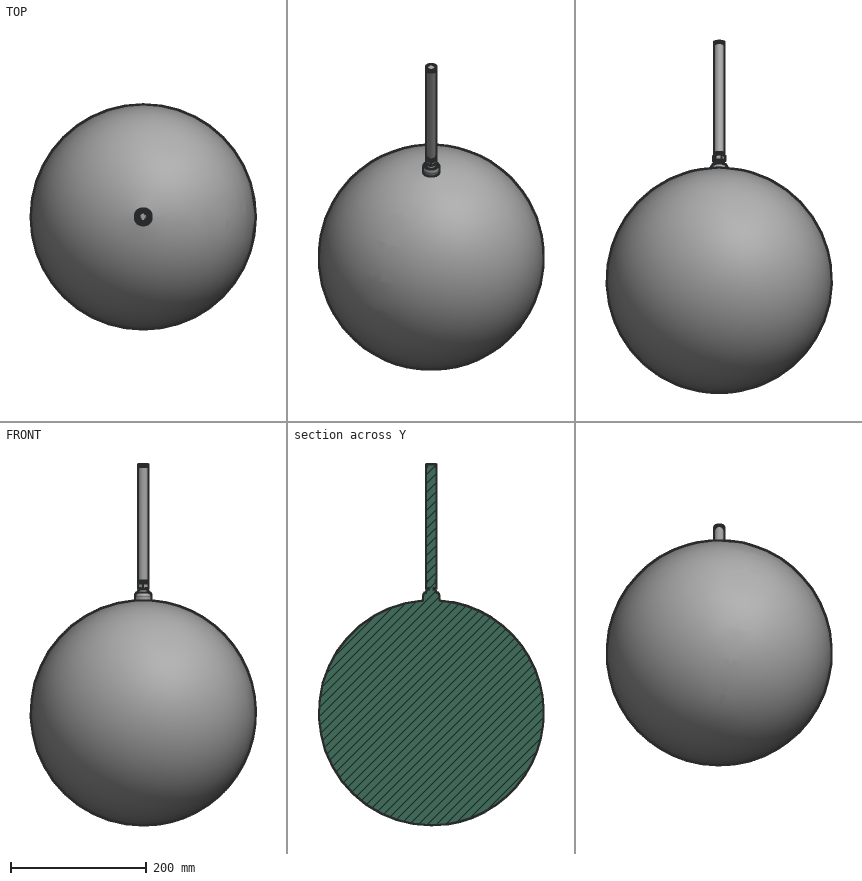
import cadquery as cq
import math

globe_diameter = 334.0
globe_radius = globe_diameter / 2
overall_height = 535.11

stem_diameter = 16.0
stem_end_diameter = 13.0
groove_diameter = 13.62
chamfer_height = 0.8
ring_wall_height = 1.0
groove_width = 1.4

nut_across_flats = 16.0
nut_height = 7.4

pin_diameter = 8.06
pin_height = 1.6

canopy_diameter = 25.0
canopy_wall_height = 5.0
canopy_round_height = 6.0
canopy_ledge_diameter = 20.0
canopy_cone_diameter = 17.0
canopy_top_diameter = 12.5
canopy_cone_height = 4.8
canopy_embed = 3.0

stem_top = overall_height - globe_radius
canopy_bottom = globe_radius - canopy_embed
canopy_wall_top = globe_radius + canopy_wall_height
canopy_ledge = canopy_wall_top + canopy_round_height
canopy_top = canopy_ledge + canopy_cone_height
nut_bottom = canopy_top + pin_height
stem_bottom = nut_bottom + nut_height


def turned(profile):
    """Turn a closed half profile, drawn in XZ, a full turn about Z."""
    return profile.close().revolve(360, (0, 0, 0), (0, 1, 0))


def make_globe():
    return cq.Workplane("XY").sphere(globe_radius)


def make_canopy():
    wall_radius = canopy_diameter / 2
    profile = (
        cq.Workplane("XZ")
        .moveTo(0, canopy_bottom)
        .lineTo(wall_radius, canopy_bottom)
        .lineTo(wall_radius, canopy_wall_top)
        .tangentArcPoint((canopy_ledge_diameter / 2, canopy_ledge), relative=False)
        .lineTo(canopy_cone_diameter / 2, canopy_ledge)
        .lineTo(canopy_top_diameter / 2, canopy_top)
        .lineTo(0, canopy_top)
    )
    return turned(profile)


def make_pin():
    return cq.Workplane("XY").workplane(offset=canopy_top).circle(pin_diameter / 2).extrude(pin_height)


def make_nut():
    across_corners = nut_across_flats / math.cos(math.pi / 6)
    return (
        cq.Workplane("XY")
        .workplane(offset=nut_bottom)
        .transformed(rotate=(0, 0, 90))
        .polygon(6, across_corners)
        .extrude(nut_height)
    )


def stem_end_points(face_diameter):
    """(radius, distance from the end face) along one stem end, from the face inward."""
    ring_end = chamfer_height + ring_wall_height
    groove_end = ring_end + groove_width
    return [
        (face_diameter / 2, 0),
        (stem_diameter / 2, chamfer_height),
        (stem_diameter / 2, ring_end),
        (groove_diameter / 2, ring_end),
        (groove_diameter / 2, groove_end),
        (stem_diameter / 2, groove_end + chamfer_height),
    ]


def make_stem():
    """Rod with a full-width face on the nut and a chamfered face at the top."""
    profile = cq.Workplane("XZ").moveTo(0, stem_bottom)
    for radius, distance in stem_end_points(stem_diameter):
        profile = profile.lineTo(radius, stem_bottom + distance)
    for radius, distance in reversed(stem_end_points(stem_end_diameter)):
        profile = profile.lineTo(radius, stem_top - distance)
    return turned(profile.lineTo(0, stem_top))


result = make_globe().union(make_canopy()).union(make_pin()).union(make_nut()).union(make_stem()).clean()